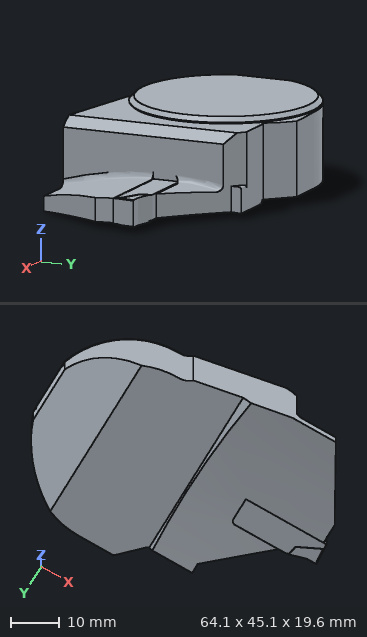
import cadquery as cq
import math

disc_radius = 20.0
disc_x = 19.0
top_z = 19.6
disc_chamfer = 1.0
shoulder_z = 17.95
groove_depth = 0.4
groove_z = 18.2
flare_radius = 20.6
shank_bottom_z = 1.9
bevel_top_z = 13.15

front_y = -25.05
back_y = 14.8
block_corner_x = 27.3
notch_x = block_corner_x + disc_radius - back_y
slant_start_x = 40.5
slant_end_x = 55.75
neck_x = 22.05
neck_y = -21.1
neck_mid_x = 20.7
neck_mid_y = -20.25
front_corner_x = 43.3
blade_corner_x = 53.8
blade_end_x = 63.0
blade_end_y = -9.05

wall_x = 44.4
wall_fillet = 1.55
wall_chamfer_x = 2.3
wall_chamfer_z = 2.1

blade_top_radius = 76.9
blade_top_y = -1.9
blade_top_z = 6.8
blade_bottom_radius = 217.95
blade_bottom_y = 1.3
blade_bottom_z = blade_bottom_radius - math.sqrt(
    blade_bottom_radius ** 2 - (front_y - blade_bottom_y) ** 2
)
step_start_x = 32.75
step_end_x = step_start_x + shank_bottom_z

foot_end_x = 43.1
foot_depth = 3.85
foot_fillet = 0.5

insert_back_y = 1.4
insert_front_y = -4.55
insert_bottom_z = 1.55
insert_top_z = 6.9
insert_corner = 0.95
insert_slope_x = 57.4
edge_start_x = 61.7
edge_x = 64.1
edge_y = 0.1
heel_x = 63.7
tip_start_x = 58.1
tip_knee_x = 58.45
tip_knee_y = -0.9
tip_heel_y = -3.5
tip_top_z = 7.05
tip_bottom_z = 1.2
tip_edge_chamfer = 0.25

margin = 3.2


def disc():
    rim_z = top_z - disc_chamfer
    profile = [
        (0, shank_bottom_z),
        (flare_radius, shank_bottom_z),
        (flare_radius, shoulder_z),
        (disc_radius - groove_depth, groove_z),
        (disc_radius, rim_z),
        (disc_radius - disc_chamfer, top_z),
        (0, top_z),
    ]
    turned = (
        cq.Workplane("XZ").polyline(profile).close()
        .revolve(360, (0, 0, 0), (0, 1, 0)).translate((disc_x, 0, 0))
    )
    allowed = plan_outline().extrude(top_z)
    flatted_block = (
        cq.Workplane("XY", origin=(0, -disc_radius - margin, 0))
        .box(disc_x + disc_radius + margin, 2 * (disc_radius + margin), top_z, centered=False)
    )
    flatted_block = flatted_block.faces(">Z").edges("<X").chamfer(disc_chamfer)
    return turned.intersect(allowed).intersect(flatted_block)


def plan_outline():
    half_flat = math.sqrt(disc_radius ** 2 - disc_x ** 2)
    arc_offset = disc_radius * math.sqrt(0.5)
    return (
        cq.Workplane("XY")
        .moveTo(0, half_flat)
        .threePointArc((disc_x - arc_offset, arc_offset), (disc_x, disc_radius))
        .lineTo(block_corner_x, disc_radius)
        .lineTo(notch_x, back_y)
        .lineTo(slant_start_x, back_y)
        .lineTo(slant_end_x, insert_back_y)
        .lineTo(blade_end_x, insert_back_y)
        .lineTo(blade_end_x, blade_end_y)
        .lineTo(blade_corner_x, front_y)
        .lineTo(front_corner_x, front_y)
        .lineTo(neck_x, neck_y)
        .threePointArc((neck_mid_x, neck_mid_y), (disc_x, -disc_radius))
        .threePointArc((disc_x - arc_offset, -arc_offset), (0, -half_flat))
        .close()
    )


def cylinder_along_x(radius, center_y, peak_z, start_x):
    return (
        cq.Workplane("YZ", origin=(start_x, center_y, peak_z - radius))
        .circle(radius).extrude(edge_x + margin - start_x)
    )


def space_above_blade():
    length = edge_x + margin - wall_x
    space = (
        cq.Workplane("XY", origin=(wall_x, front_y - margin, 0))
        .box(length, 3 * disc_radius, top_z + margin, centered=False)
        .cut(cylinder_along_x(blade_top_radius, blade_top_y, blade_top_z, wall_x))
    )
    floor_edge = cq.selectors.BoxSelector(
        (wall_x - wall_fillet, front_y - 2 * margin, 0),
        (wall_x + wall_fillet, 3 * disc_radius, blade_top_z + wall_fillet),
        boundingbox=False,
    )
    return space.edges("<X").edges(floor_edge).fillet(wall_fillet)


def space_below_shank():
    profile = [
        (-margin, -margin),
        (step_end_x + margin, -margin),
        (step_start_x, shank_bottom_z),
        (bevel_top_z - shank_bottom_z, shank_bottom_z),
        (-margin, bevel_top_z + margin),
    ]
    return cq.Workplane("XZ").polyline(profile).close().extrude(2 * disc_radius, both=True)


def space_below_blade():
    arch = cylinder_along_x(blade_bottom_radius, blade_bottom_y, blade_bottom_z, 0)
    slab = (
        cq.Workplane("XY", origin=(0, front_y - margin, -margin))
        .box(edge_x + margin, 3 * disc_radius, margin + shank_bottom_z, centered=False)
    )
    return slab.intersect(arch)


def foot():
    block = (
        cq.Workplane("XY", origin=(step_end_x, back_y - foot_depth, 0))
        .box(foot_end_x - step_end_x, foot_depth, blade_top_z, centered=False)
    )
    return block.faces(">Z").edges(">Y").fillet(foot_fillet)


def wall_chamfer():
    profile = [
        (wall_x - wall_chamfer_x, shoulder_z),
        (wall_x, shoulder_z),
        (wall_x, shoulder_z - wall_chamfer_z),
    ]
    return cq.Workplane("XZ").polyline(profile).close().extrude(2 * disc_radius, both=True)


def insert_space():
    """Straight pocket for the insert, open at the blade end."""
    width = insert_back_y - insert_front_y
    return (
        cq.Workplane("XY", origin=(wall_x, insert_front_y, 0))
        .box(edge_x + margin - wall_x, width, blade_top_z + margin, centered=False)
        .edges("|Z and <X and >Y").fillet(insert_corner)
    )


def make_holder():
    body = plan_outline().extrude(shoulder_z)
    body = body.cut(wall_chamfer()).cut(space_above_blade())
    body = body.union(foot()).union(disc())
    body = body.cut(space_below_shank()).cut(space_below_blade())
    return body.cut(insert_space())


def make_insert():
    bar = (
        cq.Workplane("XY", origin=(0, 0, insert_bottom_z))
        .moveTo(wall_x, insert_front_y)
        .lineTo(heel_x, insert_front_y)
        .lineTo(edge_x, edge_y)
        .lineTo(edge_start_x, edge_y)
        .lineTo(insert_slope_x, insert_back_y)
        .lineTo(wall_x, insert_back_y)
        .close().extrude(insert_top_z - insert_bottom_z)
        .edges("|Z and <X and >Y").fillet(insert_corner)
    )
    slope = (edge_y - insert_back_y) / (edge_start_x - insert_slope_x)
    tip_start_y = insert_back_y + slope * (tip_start_x - insert_slope_x)
    clearance = (edge_x - heel_x) / (edge_y - insert_front_y)
    tip_heel_x = heel_x + clearance * (tip_heel_y - insert_front_y)
    tip = (
        cq.Workplane("XY", origin=(0, 0, tip_bottom_z))
        .polyline([
            (tip_start_x, tip_start_y),
            (tip_knee_x, tip_knee_y),
            (tip_heel_x, tip_heel_y),
            (edge_x, edge_y),
            (edge_start_x, edge_y),
        ])
        .close().extrude(tip_top_z - tip_bottom_z)
    )
    end_face = cq.selectors.DirectionMinMaxSelector(cq.Vector(1, -clearance, 0), True)
    tip = tip.faces(end_face).edges("not |Z").chamfer(tip_edge_chamfer)
    return bar.union(tip)


insert = make_insert()
holder = make_holder()

result = cq.Compound.makeCompound([holder.val(), insert.val()])